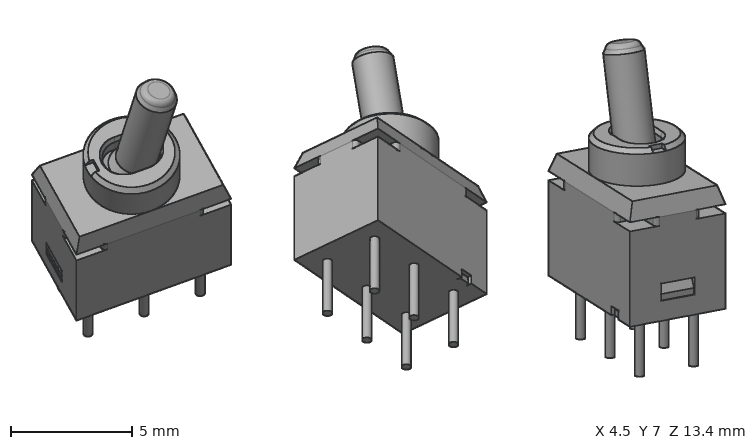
import cadquery as cq
import math

body_width = 4.5
body_length = 7.0
body_bottom = 2.61
body_top = 7.2
cover_top = 8.01
cover_inset = 0.25

corner_notch_size = 1.39
corner_notch_height = 0.4
core_round = 0.2

bushing_diameter = 4.0
bushing_top = 9.61
bushing_chamfer = 0.2
key_width = 0.6
key_length = 0.4

slot_width = 1.78
slot_length = 2.49
mouth_width = 0.11
mouth_depth = 0.2
bowl_radius = 2.4
bowl_bottom = 8.69

lever_tilt = 13.6
pivot_height = 8.17
lever_radius = 0.87
lever_shoulder = 0.88
skirt_angle = 30.0
lever_length = 5.23
tip_cone_height = 0.2
tip_flat_radius = 0.47
tip_round = 0.3
tip_round_start = 16.0

pin_diameter = 0.4
pin_pitch = 2.54
pin_rows = 2
pins_per_row = 3

window_width = 1.58
window_bottom = 3.49
window_height = 0.76
latch_height = 0.28
latch_recess = 0.05
latch_slope = 25.0

vent_center = -2.2
vent_width = 0.6
vent_height = 0.4
vent_depth = 0.3
tab_height = 0.3
tab_recess = 0.1
tab_round = 0.15


def housing():
    """Rectangular body with a tapered cover on top."""
    body = (
        cq.Workplane("XY", origin=(0, 0, body_bottom))
        .rect(body_width, body_length)
        .extrude(body_top - body_bottom)
    )
    taper = math.degrees(math.atan2(cover_inset, cover_top - body_top))
    cover = (
        cq.Workplane("XY", origin=(0, 0, body_top))
        .rect(body_width, body_length)
        .extrude(cover_top - body_top, taper=taper)
    )
    return body.union(cover)


def corner_notches():
    """Band just under the cover minus the cross-shaped core that stays."""
    inner_size = corner_notch_size - core_round
    notch_plane = cq.Workplane("XY", origin=(0, 0, body_top - corner_notch_height))
    band = notch_plane.rect(body_width, body_length).extrude(corner_notch_height)
    core_sections = [
        (body_width, body_length - 2 * inner_size),
        (body_width - 2 * inner_size, body_length),
    ]
    for core_width, core_length in core_sections:
        core_bar = (
            notch_plane.rect(core_width, core_length)
            .extrude(corner_notch_height)
            .edges("|Z")
            .fillet(core_round)
        )
        band = band.cut(core_bar)
    return band


def bushing():
    """Chamfered collar with a key notch in its -Y rim."""
    collar = (
        cq.Workplane("XY", origin=(0, 0, cover_top))
        .circle(bushing_diameter / 2)
        .extrude(bushing_top - cover_top)
        .faces(">Z")
        .chamfer(bushing_chamfer)
    )
    key_notch = (
        cq.Workplane("XY", origin=(0, (key_length - bushing_diameter) / 2, bushing_top))
        .rect(key_width, key_length)
        .extrude(-bushing_chamfer)
    )
    return collar.cut(key_notch)


def lever_opening():
    """Slot with a tapered mouth, whose floor is a shallow spherical bowl."""
    slot = (
        cq.Workplane("XY", origin=(0, 0, cover_top))
        .slot2D(slot_length, slot_width, 90)
        .extrude(bushing_top - cover_top)
    )
    bowl = cq.Workplane("XY", origin=(0, 0, bowl_bottom + bowl_radius)).sphere(bowl_radius)
    mouth_taper = math.degrees(math.atan2(mouth_width, mouth_depth))
    mouth = (
        cq.Workplane("XY", origin=(0, 0, bushing_top))
        .slot2D(slot_length + 2 * mouth_width, slot_width + 2 * mouth_width, 90)
        .extrude(-mouth_depth, taper=mouth_taper)
    )
    return slot.intersect(bowl).union(mouth)


def lever():
    """Round lever with a flared foot and a rounded conical tip, tilted toward +Y."""
    foot_radius = lever_radius + lever_shoulder * math.tan(math.radians(skirt_angle))
    round_start = math.radians(tip_round_start)
    round_center = lever_length - tip_round
    cone_end = round_center + tip_round * math.sin(round_start)
    tip_round_base = tip_flat_radius + tip_round * math.cos(round_start)
    arc_middle = (math.radians(90) + round_start) / 2
    arc_mid_radius = tip_flat_radius + tip_round * math.cos(arc_middle)
    arc_mid_height = round_center + tip_round * math.sin(arc_middle)
    upright = (
        cq.Workplane("XZ")
        .lineTo(foot_radius, 0)
        .lineTo(lever_radius, lever_shoulder)
        .lineTo(lever_radius, cone_end - tip_cone_height)
        .lineTo(tip_round_base, cone_end)
        .threePointArc((arc_mid_radius, arc_mid_height), (tip_flat_radius, lever_length))
        .lineTo(0, lever_length)
        .close()
        .revolve(360, (0, 0, 0), (0, 1, 0))
    )
    return upright.rotate((0, 0, 0), (1, 0, 0), -lever_tilt).translate((0, 0, pivot_height))


def pins():
    """Two rows of three terminal pins, on the same pitch both ways."""
    return (
        cq.Workplane("XY")
        .rarray(pin_pitch, pin_pitch, pin_rows, pins_per_row)
        .circle(pin_diameter / 2)
        .extrude(body_bottom)
    )


def latch_window():
    """Blind window; its back wall is upright at the bottom, then slopes inward."""
    slope_height = window_height - latch_height
    top_depth = latch_recess + slope_height * math.tan(math.radians(latch_slope))
    wall = -body_length / 2
    ledge = window_bottom + latch_height
    window_top = window_bottom + window_height
    return (
        cq.Workplane("YZ")
        .moveTo(wall, window_bottom)
        .lineTo(wall + latch_recess, window_bottom)
        .lineTo(wall + latch_recess, ledge)
        .lineTo(wall + top_depth, window_top)
        .lineTo(wall, window_top)
        .close()
        .extrude(window_width / 2, both=True)
    )


def vent_notch():
    """Notch open at the bottom and side, partly filled by a tab with rounded edges."""
    wall = -body_width / 2
    notch = cq.Workplane("XY").box(
        vent_depth, vent_width, vent_height, centered=(False, True, False)
    )
    tab = (
        cq.Workplane("XY", origin=(tab_recess, 0, 0))
        .box(vent_depth - tab_recess, vent_width, tab_height, centered=(False, True, False))
        .edges("|Z and <X")
        .fillet(tab_round)
    )
    return notch.cut(tab).translate((wall, vent_center, body_bottom))


result = (
    housing()
    .cut(corner_notches())
    .cut(latch_window())
    .cut(vent_notch())
    .union(bushing())
    .cut(lever_opening())
    .union(lever())
    .union(pins())
)